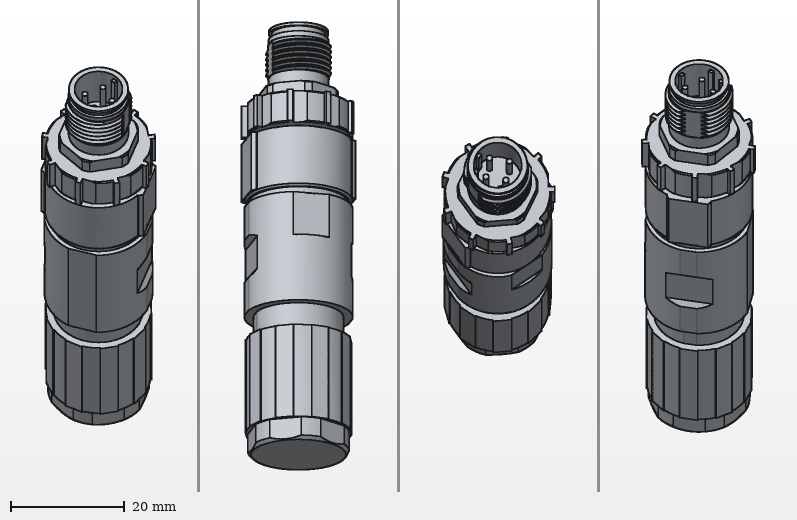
import cadquery as cq
import math


GLAND_TOP = 4.0
GRIP_TOP = 21.0
BODY_BOTTOM = 25.5
BODY_TOP = 45.6
NUT_BOTTOM = 46.8
NUT_TOP = 57.8
RING_BOTTOM = 58.6
RING_TOP = 64.4
HEX_TOP = 67.1
THREAD_BOTTOM = 69.6
THREAD_TOP = 75.9
NECK_BOTTOM = 76.8
NECK_TOP = 77.9
TOTAL_HEIGHT = 78.5

GLAND_FLATS = 16.95
GLAND_DIAMETER = 17.9
GLAND_BEVEL = 0.6

SLEEVE_DIAMETER = 18.45
GRIP_PADS = 9
GRIP_PITCH = 360 / GRIP_PADS
GRIP_RADIUS = 9.4

LOWER_NECK_DIAMETER = 15.85
LOWER_NECK_FLATS = 15.7
BODY_DIAMETER = 19.1
BODY_FLATS_X = 18.8
BODY_FRONT_FLAT = 9.2
LABEL_FLAT = 8.95
LABEL_BOTTOM = 37.7
POCKET_FLATS = 17.1
POCKET_BOTTOM = 32.5
POCKET_TOP = 38.5
UPPER_NECK_DIAMETER = 17.35

NUT_DIAMETER = 18.8
NUT_BEVEL = 0.4
PAD_SPAN = 18.9
PAD_OUTER_WIDTH = 7.1
PAD_ROOT_WIDTH = 7.9
PAD_ROOT = 8.7
COLLAR_DIAMETER = 14.4

RING_DIAMETER = 18.8
RING_BEVEL = 0.2
RIBS = 9
RIB_PITCH = 360 / RIBS
FIRST_RIB_ANGLE = 27
RIB_RADIUS = 10.05
RIB_WIDTH = 0.95
RELIEF_ANGLE = 18

HEX_FLATS = 12.9
HEX_DIAMETER = 14.1
HEX_BEVEL = 0.2

PLUG_DIAMETER = 10.6
CORE_DIAMETER = 10.75
CREST_DIAMETER = 11.85
THREAD_PITCH = 1.0
THREAD_BASE = 0.95
THREAD_CREST = 0.1
THREAD_SINK = 0.15
THREAD_RUN_IN = 0.2
THREAD_FLATS = 10.35
GROOVE_DIAMETER = 9.5
LIP_DIAMETER = 10.4

BORE_DIAMETER = 8.4
BORE_FLOOR = 70.6
PIN_DIAMETER = 1.0
PIN_CIRCLE = 5.0
PIN_TOP = 76.35
PINS = 4
KEY_TOP = 77.6
KEY_INNER_RADIUS = 3.6
KEY_WIDTH = 0.9
KEY_ANGLES = (63, -22, -67)

OVERLAP = 0.2


def cylinder(diameter, bottom, top):
    return cq.Workplane("XY").workplane(offset=bottom).circle(diameter / 2).extrude(top - bottom)


def slab(x_span, y_span, bottom, top):
    """Box centred on the axis."""
    box = cq.Workplane("XY").workplane(offset=bottom).rect(x_span, y_span)
    return box.extrude(top - bottom)


def rounded_hexagon(across_flats, diameter, bottom, top):
    """Hexagon with flats facing +X and -X and its corners turned to a diameter."""
    corner_circle = across_flats / math.cos(math.pi / 6)
    hexagon = cq.Workplane("XY").workplane(offset=bottom).polygon(6, corner_circle)
    hexagon = hexagon.extrude(top - bottom).rotate((0, 0, 0), (0, 0, 1), 30)
    return hexagon.intersect(cylinder(diameter, bottom, top))


def polar_box(inner, outer, width, bottom, top, angle):
    """Upright box between two distances from the axis, turned to an angle."""
    box = cq.Workplane("XY").box(outer - inner, width, top - bottom, centered=(False, True, False))
    return box.translate((inner, 0, bottom)).rotate((0, 0, 0), (0, 0, 1), angle)


def gland():
    bevelled = cylinder(GLAND_DIAMETER, 0, GLAND_TOP).faces("<Z").chamfer(GLAND_BEVEL)
    return rounded_hexagon(GLAND_FLATS, GLAND_DIAMETER, 0, GLAND_TOP).intersect(bevelled)


def clamping_sleeve():
    """Each pad is flat, spans half a pitch and has its corners at the grip radius."""
    sleeve = cylinder(SLEEVE_DIAMETER, GLAND_TOP, GRIP_TOP)
    half_span = math.radians(GRIP_PITCH / 4)
    face = GRIP_RADIUS * math.cos(half_span)
    width = 2 * GRIP_RADIUS * math.sin(half_span)
    for i in range(GRIP_PADS):
        angle = 180 + i * GRIP_PITCH
        pad = polar_box(SLEEVE_DIAMETER / 4, face, width, GLAND_TOP, GRIP_TOP, angle)
        sleeve = sleeve.union(pad)
    return sleeve


def wrench_pocket(side):
    """Flat-bottomed pocket across one X side, with 45 degree ends."""
    floor = POCKET_FLATS / 2
    outer = BODY_DIAMETER / 2
    run = outer - floor
    outline = [
        (side * floor, POCKET_BOTTOM),
        (side * outer, POCKET_BOTTOM - run),
        (side * outer, POCKET_TOP + run),
        (side * floor, POCKET_TOP),
    ]
    return cq.Workplane("XZ").polyline(outline).close().extrude(BODY_DIAMETER / 2, both=True)


def housing():
    radius = BODY_DIAMETER / 2
    body = cylinder(BODY_DIAMETER, BODY_BOTTOM, BODY_TOP)
    body = body.intersect(slab(BODY_FLATS_X, BODY_DIAMETER, BODY_BOTTOM, BODY_TOP))
    body = body.cut(polar_box(BODY_FRONT_FLAT, radius, BODY_DIAMETER, BODY_BOTTOM, BODY_TOP, -90))
    body = body.cut(polar_box(LABEL_FLAT, radius, BODY_DIAMETER, LABEL_BOTTOM, BODY_TOP, 90))
    for side in (-1, 1):
        body = body.cut(wrench_pocket(side))
    lower_neck = cylinder(LOWER_NECK_DIAMETER, GRIP_TOP, BODY_BOTTOM)
    lower_neck = lower_neck.intersect(
        slab(LOWER_NECK_FLATS, LOWER_NECK_DIAMETER, GRIP_TOP, BODY_BOTTOM)
    )
    upper_neck = cylinder(UPPER_NECK_DIAMETER, BODY_TOP, NUT_BOTTOM)
    return body.union(lower_neck).union(upper_neck)


def union_nut():
    """Bevelled nut; both pads come from one bar through the axis, tapered at its ends."""
    one_end = [
        (PAD_ROOT, -PAD_ROOT_WIDTH / 2),
        (PAD_SPAN / 2, -PAD_OUTER_WIDTH / 2),
        (PAD_SPAN / 2, PAD_OUTER_WIDTH / 2),
        (PAD_ROOT, PAD_ROOT_WIDTH / 2),
    ]
    other_end = [(-x, -y) for x, y in one_end]
    pad_bottom = NUT_BOTTOM + NUT_BEVEL
    pads = cq.Workplane("XY").workplane(offset=pad_bottom).polyline(one_end + other_end).close()
    nut = cylinder(NUT_DIAMETER, NUT_BOTTOM, NUT_TOP).faces("<Z").chamfer(NUT_BEVEL)
    collar = cylinder(COLLAR_DIAMETER, NUT_TOP, RING_BOTTOM)
    return nut.union(pads.extrude(NUT_TOP - pad_bottom)).union(collar)


def locking_ring():
    radius = RING_DIAMETER / 2
    relief_distance = radius * math.cos(math.radians(RELIEF_ANGLE))
    relief_width = radius * math.sin(math.radians(RELIEF_ANGLE)) + OVERLAP
    ring = cylinder(RING_DIAMETER, RING_BOTTOM, RING_TOP).faces("<Z or >Z").chamfer(RING_BEVEL)
    for i in range(RIBS):
        angle = FIRST_RIB_ANGLE + i * RIB_PITCH
        relief = polar_box(relief_distance, RIB_RADIUS, relief_width, RING_BOTTOM, RING_TOP, 0)
        relief = relief.translate((0, relief_width / 2, 0)).rotate((0, 0, 0), (0, 0, 1), angle)
        rib_root = relief_distance - OVERLAP
        rib = polar_box(rib_root, RIB_RADIUS, RIB_WIDTH, RING_BOTTOM, RING_TOP, angle)
        ring = ring.cut(relief).union(rib)
    return ring


def hexagon_flange():
    bevelled = cylinder(HEX_DIAMETER, RING_TOP, HEX_TOP).faces(">Z").chamfer(HEX_BEVEL)
    return rounded_hexagon(HEX_FLATS, HEX_DIAMETER, RING_TOP, HEX_TOP).intersect(bevelled)


def thread():
    """Right-hand helical ridge on its core, with a flat on each X side.

    Both ends of the ridge are trimmed level with the ends of the core.
    """
    root = CORE_DIAMETER / 2 - THREAD_SINK
    crest = CREST_DIAMETER / 2
    start = THREAD_BOTTOM + THREAD_RUN_IN
    height = THREAD_TOP - THREAD_BOTTOM - 2 * THREAD_RUN_IN
    helix = cq.Wire.makeHelix(THREAD_PITCH, height, root).translate(cq.Vector(0, 0, start))
    profile = [
        (root, start - THREAD_BASE / 2),
        (crest, start - THREAD_CREST / 2),
        (crest, start + THREAD_CREST / 2),
        (root, start + THREAD_BASE / 2),
    ]
    ridge = cq.Workplane("XZ").polyline(profile).close().sweep(cq.Workplane(helix), isFrenet=True)
    core = cylinder(CORE_DIAMETER, THREAD_BOTTOM, THREAD_TOP)
    flats = slab(THREAD_FLATS, 2 * CREST_DIAMETER, THREAD_BOTTOM, THREAD_TOP)
    return core.union(ridge).intersect(flats)


def plug():
    body = thread()
    body = body.union(cylinder(PLUG_DIAMETER, HEX_TOP, THREAD_BOTTOM))
    body = body.union(cylinder(PLUG_DIAMETER, THREAD_TOP, NECK_BOTTOM))
    body = body.union(cylinder(GROOVE_DIAMETER, NECK_BOTTOM, NECK_TOP))
    body = body.union(cylinder(LIP_DIAMETER, NECK_TOP, TOTAL_HEIGHT))
    body = body.cut(cylinder(BORE_DIAMETER, BORE_FLOOR, TOTAL_HEIGHT))
    key_root = BORE_DIAMETER / 2 + OVERLAP
    for angle in KEY_ANGLES:
        key = polar_box(KEY_INNER_RADIUS, key_root, KEY_WIDTH, BORE_FLOOR, KEY_TOP, angle)
        body = body.union(key)
    pins = cq.Workplane("XY").workplane(offset=BORE_FLOOR - OVERLAP)
    pins = pins.polarArray(PIN_CIRCLE / 2, 0, 360, PINS).circle(PIN_DIAMETER / 2)
    return body.union(pins.extrude(PIN_TOP - BORE_FLOOR + OVERLAP))


result = gland()
for section in (clamping_sleeve, housing, union_nut, locking_ring, hexagon_flange, plug):
    result = result.union(section())